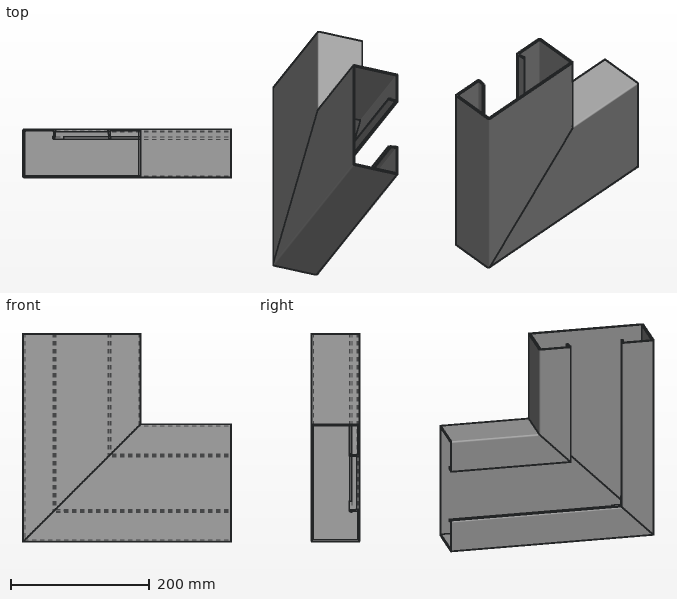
import cadquery as cq
import math

leg_length = 300.0
leg_width = 169.8
depth = 70.0
wall = 2.7
edge_radius = 2.5
inner_radius = 1.0

opening = 75.3
lip_depth = 15.0
lip_thickness = 2.5
ridge_height = 4.2
ridge_step = 0.5
straight_depth = 6.3
lean_angle = 4.0
bead_height = 3.5
bead_step = 1.0

relief_start = 58.8
relief_height = 3.5
relief_depth = 1.2

middle = leg_width / 2
ridge_x = middle - opening / 2
lip_x = ridge_x - ridge_step
ridge_y = depth - ridge_height
straight_y = depth - straight_depth
tip_y = depth - lip_depth
bead_y = tip_y + bead_height
lean = math.tan(math.radians(lean_angle))
tip_x = lip_x - (ridge_y - tip_y) * lean
hidden_x = lip_x - lip_thickness
neck_x = hidden_x - (straight_y - bead_y) * lean
bead_x = neck_x - bead_step
tip_radius = tip_x - bead_x
round_mid = edge_radius * (1 - math.sqrt(0.5))
inner_back = depth - wall
inner_mid = inner_radius * (1 - math.sqrt(0.5))
tip_mid = tip_radius * (1 - math.sqrt(0.5))


def half_channel():
    """Outer-side half of the straight channel, from the side wall to the middle plane."""
    return (
        cq.Workplane("XY")
        .moveTo(middle, 0)
        .lineTo(edge_radius, 0)
        .threePointArc((round_mid, round_mid), (0, edge_radius))
        .lineTo(0, depth - edge_radius)
        .threePointArc((round_mid, depth - round_mid), (edge_radius, depth))
        .lineTo(ridge_x - edge_radius, depth)
        .threePointArc((ridge_x - round_mid, depth - round_mid), (ridge_x, depth - edge_radius))
        .lineTo(ridge_x, ridge_y)
        .lineTo(lip_x, ridge_y)
        .lineTo(tip_x, tip_y)
        .threePointArc((bead_x + tip_mid, tip_y + tip_mid), (bead_x, tip_y + tip_radius))
        .lineTo(bead_x, bead_y)
        .lineTo(neck_x, bead_y)
        .lineTo(hidden_x, straight_y)
        .lineTo(hidden_x, inner_back - inner_radius)
        .threePointArc((hidden_x - inner_mid, inner_back - inner_mid), (hidden_x - inner_radius, inner_back))
        .lineTo(wall + inner_radius, inner_back)
        .threePointArc((wall + inner_mid, inner_back - inner_mid), (wall, inner_back - inner_radius))
        .lineTo(wall, wall)
        .lineTo(middle, wall)
        .close()
        .extrude(leg_length)
    )


def lip_relief():
    """Block that thins the opening side of the outer lip's tip."""
    return (
        cq.Workplane("XY", origin=(0, 0, relief_start))
        .moveTo(tip_x - relief_depth, tip_y)
        .lineTo(middle, tip_y)
        .lineTo(middle, tip_y + relief_height)
        .lineTo(tip_x - relief_depth, tip_y + relief_height)
        .close()
        .extrude(leg_length - relief_start)
    )


def mitre_waste():
    """Wedge below the 45 degree plane through the corner."""
    return (
        cq.Workplane("XZ")
        .polyline([(0, 0), (leg_length, 0), (leg_length, leg_length)])
        .close()
        .extrude(-depth)
    )


def upright_leg():
    """Leg running up Z, mitred at its lower end."""
    near_half = half_channel()
    far_half = near_half.mirror("YZ", (middle, 0, 0))
    return near_half.union(far_half).clean().cut(lip_relief()).cut(mitre_waste())


def level_leg():
    """Leg running along X: the upright leg reflected in the mitre plane."""
    return upright_leg().rotate((0, 0, 0), (1, 0, 1), 180).mirror("XZ")


upright = upright_leg()
level = level_leg()

result = cq.Compound.makeCompound([upright.val(), level.val()])